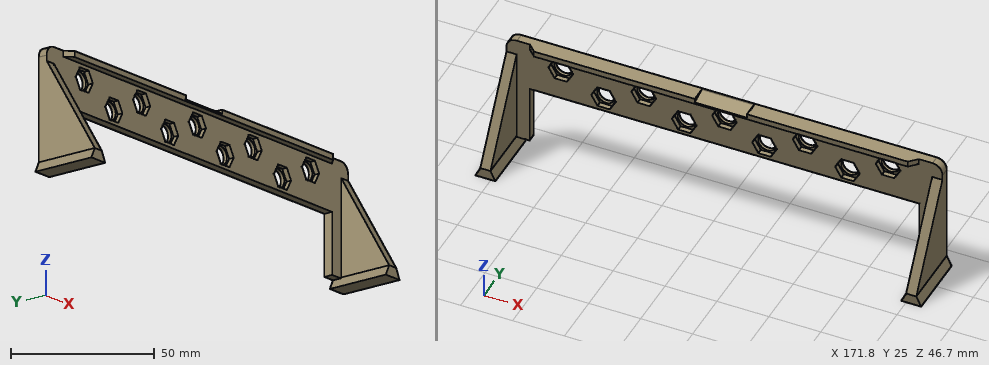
import cadquery as cq

WIDTH = 171.8
DEPTH = 25.0
HEIGHT = 46.7

PANEL_WIDTH = 168.0
PANEL_THICKNESS = 3.6
PANEL_HEIGHT = 20.0
CORNER_RADIUS = 4.0
OPENING_WIDTH = 150.1
LEG_BOTTOM = 3.6

GUSSET_THICKNESS = 4.0
GUSSET_DROP = 6.2
FOOT_HEIGHT = 4.0

FLANGE_LENGTH = 149.8
FLANGE_DEPTH = 6.5
FLANGE_THICKNESS = 2.2
FLANGE_CHAMFER = FLANGE_DEPTH - PANEL_THICKNESS

NOTCH_WIDTH = 20.1
NOTCH_BACK_MARGIN = 0.7
NOTCH_DROP = 1.5

HOLE_DIAMETER = 6.9
NUT_ACROSS_CORNERS = 9.5
NUT_POCKET_DEPTH = 2.0
UPPER_ROW_DROP = 7.7
LOWER_ROW_DROP = 14.5
UPPER_ROW_X = (-63.0, -31.1, 0, 31.1, 63.0)
LOWER_ROW_X = (-46.5, -15.5, 15.5, 47.4)

FRONT = -PANEL_THICKNESS


def make_panel():
    """Flat plate with rounded top corners and a rectangular opening between the legs."""
    panel = (
        cq.Workplane("XY")
        .box(PANEL_WIDTH, PANEL_THICKNESS, HEIGHT - LEG_BOTTOM, centered=(True, True, False))
        .translate((0, FRONT / 2, LEG_BOTTOM))
        .edges("|Y and >Z")
        .fillet(CORNER_RADIUS)
    )
    opening = (
        cq.Workplane("XY")
        .box(OPENING_WIDTH, PANEL_THICKNESS, HEIGHT - PANEL_HEIGHT, centered=(True, True, False))
        .translate((0, FRONT / 2, 0))
    )
    return panel.cut(opening)


def make_flange():
    """Strip along the top edge whose front corners are cut at 45 degrees."""
    half_length = FLANGE_LENGTH / 2
    half_front = half_length - FLANGE_CHAMFER
    return (
        cq.Workplane("XY", origin=(0, 0, HEIGHT - FLANGE_THICKNESS))
        .polyline([
            (-half_length, 0),
            (-half_length, FRONT),
            (-half_front, -FLANGE_DEPTH),
            (half_front, -FLANGE_DEPTH),
            (half_length, FRONT),
            (half_length, 0),
        ])
        .close()
        .extrude(FLANGE_THICKNESS)
    )


def make_gusset():
    """Triangular web at the -X leg, flush with the outer side of the panel."""
    return (
        cq.Workplane("YZ", origin=(-PANEL_WIDTH / 2, 0, 0))
        .polyline([
            (0, FOOT_HEIGHT),
            (-DEPTH, FOOT_HEIGHT),
            (FRONT, HEIGHT - GUSSET_DROP),
            (0, HEIGHT - GUSSET_DROP),
        ])
        .close()
        .extrude(GUSSET_THICKNESS)
    )


def make_foot():
    """Trapezoidal foot under the -X gusset, flaring equally to both sides."""
    flare = (WIDTH - PANEL_WIDTH) / 2
    outer = -PANEL_WIDTH / 2
    inner = outer + GUSSET_THICKNESS
    return (
        cq.Workplane("XZ")
        .polyline([
            (outer - flare, 0),
            (inner + flare, 0),
            (inner, FOOT_HEIGHT),
            (outer, FOOT_HEIGHT),
        ])
        .close()
        .extrude(DEPTH)
    )


def make_notch():
    """Wedge removed from the top edge, deepening toward the front of the flange."""
    return (
        cq.Workplane("YZ")
        .polyline([
            (-NOTCH_BACK_MARGIN, HEIGHT),
            (-FLANGE_DEPTH, HEIGHT),
            (-FLANGE_DEPTH, HEIGHT - NOTCH_DROP),
        ])
        .close()
        .extrude(NOTCH_WIDTH / 2, both=True)
    )


def make_hole_row(x_positions, drop):
    """Through holes in one row, each with a nut pocket sunk into the front of the panel."""
    points = [(x, HEIGHT - drop) for x in x_positions]
    holes = cq.Workplane("XZ").pushPoints(points).circle(HOLE_DIAMETER / 2).extrude(PANEL_THICKNESS)
    pockets = (
        cq.Workplane("XZ", origin=(0, FRONT, 0))
        .pushPoints(points)
        .polygon(6, NUT_ACROSS_CORNERS)
        .extrude(-NUT_POCKET_DEPTH)
    )
    return holes.union(pockets)


support = make_gusset().union(make_foot())

result = (
    make_panel()
    .union(make_flange())
    .union(support)
    .union(support.mirror("YZ"))
    .cut(make_notch())
    .cut(make_hole_row(UPPER_ROW_X, UPPER_ROW_DROP))
    .cut(make_hole_row(LOWER_ROW_X, LOWER_ROW_DROP))
)